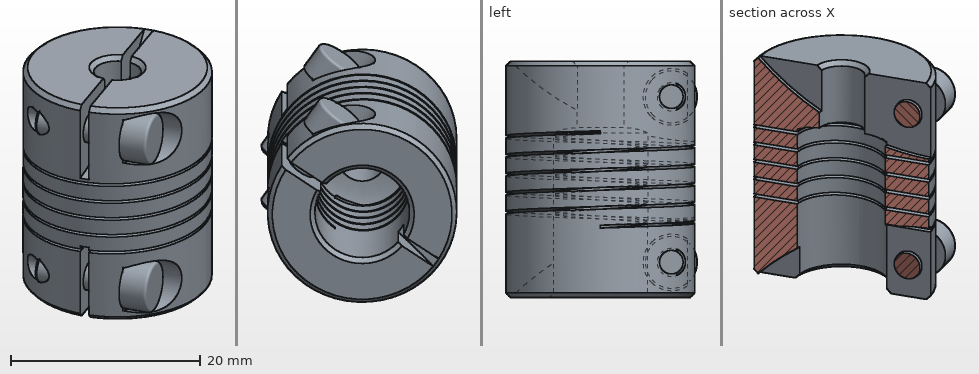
import cadquery as cq
import math

BODY_RADIUS = 10.0
BODY_LENGTH = 25.0
END_CHAMFER = 0.5
TOP_Z = BODY_LENGTH / 2

SMALL_BORE_RADIUS = 2.5
LARGE_BORE_RADIUS = 5.0
LARGE_BORE_WALL_TOP_Z = 4.95
LARGE_BORE_CEILING_Z = 5.5

HELIX_PITCH = 2.0
HELIX_TURNS = 5
HELIX_GAP = 0.3
HELIX_OVERCUT = 0.2

SLOT_WIDTH = 1.0
SLOT_DEPTH = 8.5
SLOT_DEEPEST_Y = -(BODY_RADIUS + 1.0)
SLOT_EXIT_Y = BODY_RADIUS - END_CHAMFER

SCREW_Y = -7.5
SCREW_END_DISTANCE = 3.75
SCREW_Z = TOP_Z - SCREW_END_DISTANCE
SHANK_RADIUS = 1.5
TIP_CHAMFER = 0.25
TIP_X = -6.0
HEAD_SEAT_X = 4.0
HEAD_HEIGHT = 3.0
HEAD_RADIUS = 2.75
HEAD_FILLET = 0.3
COUNTERBORE_RADIUS = 3.0
TAP_HOLE_RADIUS = SHANK_RADIUS - TIP_CHAMFER


def x_cylinder(radius, start_x, length, z):
    """Cylinder on the screw axis at height z, running toward +X."""
    plane = cq.Workplane("YZ", origin=(start_x, SCREW_Y, z))
    return plane.circle(radius).extrude(length)


def make_large_bore():
    """Wide bore cutter whose ceiling is level at the small bore and curves down to the wall."""
    half_profile = (
        cq.Workplane("XZ")
        .moveTo(LARGE_BORE_RADIUS, LARGE_BORE_WALL_TOP_Z)
        .lineTo(LARGE_BORE_RADIUS, -TOP_Z)
        .lineTo(0, -TOP_Z)
        .lineTo(0, LARGE_BORE_CEILING_Z)
        .lineTo(SMALL_BORE_RADIUS, LARGE_BORE_CEILING_Z)
        .tangentArcPoint((LARGE_BORE_RADIUS, LARGE_BORE_WALL_TOP_Z), relative=False)
        .close()
    )
    return half_profile.revolve(360, (0, 0), (0, 1))


def make_blank():
    """Cylinder with the stepped bore, chamfered around both end faces."""
    bottom = cq.Workplane("XY", origin=(0, 0, -TOP_Z))
    blank = bottom.circle(BODY_RADIUS).circle(SMALL_BORE_RADIUS).extrude(BODY_LENGTH)
    blank = blank.cut(make_large_bore())
    return blank.faces("<Z or >Z").edges().chamfer(END_CHAMFER)


def make_slot_cutter():
    """Cutter for the top slot: open upward, with its arc floor rising toward +Y."""
    floor_z = TOP_Z - SLOT_DEPTH
    run = SLOT_EXIT_Y - SLOT_DEEPEST_Y
    saw_radius = (run**2 + SLOT_DEPTH**2) / (2 * SLOT_DEPTH)
    half_angle = math.asin(run / saw_radius) / 2
    arc_middle = (
        SLOT_DEEPEST_Y + saw_radius * math.sin(half_angle),
        floor_z + saw_radius * (1 - math.cos(half_angle)),
    )
    profile = (
        cq.Workplane("YZ")
        .moveTo(SLOT_DEEPEST_Y, floor_z)
        .threePointArc(arc_middle, (SLOT_EXIT_Y, TOP_Z))
        .lineTo(SLOT_DEEPEST_Y, TOP_Z)
        .close()
    )
    return profile.extrude(SLOT_WIDTH / 2, both=True)


def make_helix_cutter():
    """Thin helical band from the large bore out past the surface, starting on the -X side."""
    inner_radius = LARGE_BORE_RADIUS - HELIX_OVERCUT
    outer_radius = BODY_RADIUS + HELIX_OVERCUT
    middle_radius = (inner_radius + outer_radius) / 2
    height = HELIX_PITCH * HELIX_TURNS
    path = cq.Workplane(cq.Wire.makeHelix(HELIX_PITCH, height, middle_radius))
    section = cq.Workplane("XZ").center(middle_radius, 0).rect(outer_radius - inner_radius, HELIX_GAP)
    band = section.sweep(path, isFrenet=True)
    return band.rotate((0, 0, 0), (0, 0, 1), 180).translate((0, 0, -height / 2))


def make_screw(z):
    """Cap screw with a rounded head rim and a chamfered tip."""
    shank = x_cylinder(SHANK_RADIUS, TIP_X, HEAD_SEAT_X - TIP_X, z).faces("<X").chamfer(TIP_CHAMFER)
    head = x_cylinder(HEAD_RADIUS, HEAD_SEAT_X, HEAD_HEIGHT, z).faces(">X").edges().fillet(HEAD_FILLET)
    return shank.union(head)


def make_body(screws):
    """Coupling body with its slots, flexure cut and screw holes."""
    body = make_blank()
    body = body.cut(make_helix_cutter())
    top_slot = make_slot_cutter()
    body = body.cut(top_slot).cut(top_slot.mirror("XY"))
    for z, screw in screws.items():
        body = body.cut(x_cylinder(TAP_HOLE_RADIUS, -BODY_RADIUS, BODY_RADIUS, z))
        body = body.cut(x_cylinder(COUNTERBORE_RADIUS, HEAD_SEAT_X, BODY_RADIUS - HEAD_SEAT_X, z))
        body = body.cut(screw)
    return body


screws = {z: make_screw(z) for z in (SCREW_Z, -SCREW_Z)}
body = make_body(screws)

result = cq.Compound.makeCompound([body.val(), *[screw.val() for screw in screws.values()]])